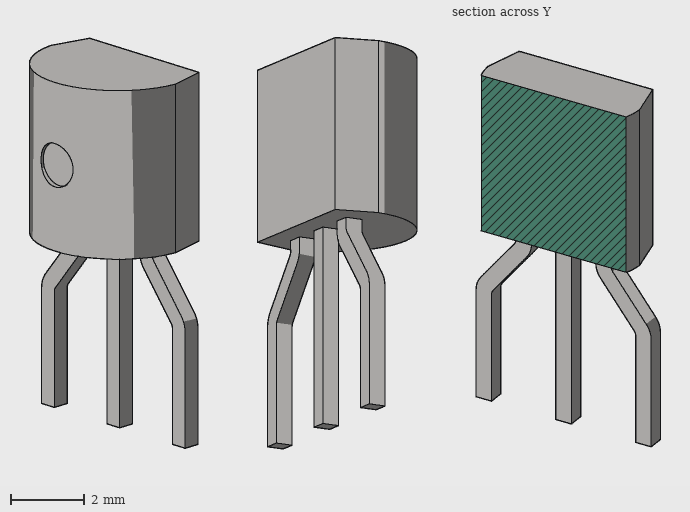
import cadquery as cq
import math

total_height = 10.37
body_height = 4.84
body_half_width = 2.42
back_half_width = 2.13
back_depth = 1.19
front_depth = 2.24

mark_radius = 0.62
mark_depth = 0.17
mark_below_top = 2.37

lead_width = 0.5
lead_pitch = 2.54
lead_root_pitch = lead_pitch / 2
upper_bend_drop = 0.46
lower_bend_drop = 2.04
inner_bend_radius = 0.21

body_bottom = total_height - body_height
lead_center_y = lead_width / 2


def make_body():
    return (
        cq.Workplane("XY", origin=(0, 0, body_bottom))
        .moveTo(-body_half_width, 0)
        .lineTo(-back_half_width, back_depth)
        .lineTo(back_half_width, back_depth)
        .lineTo(body_half_width, 0)
        .threePointArc((0, -front_depth), (-body_half_width, 0))
        .close()
        .extrude(body_height)
    )


def make_mark_cutter():
    return (
        cq.Workplane("XZ", origin=(0, mark_depth - front_depth, total_height - mark_below_top))
        .circle(mark_radius)
        .extrude(2 * mark_depth)
    )


def make_straight_lead():
    return (
        cq.Workplane("XY")
        .center(0, lead_center_y)
        .rect(lead_width, lead_width)
        .extrude(body_bottom)
    )


def make_bent_lead(side):
    """Lead splayed outwards; side is -1 for left and 1 for right."""
    root_x = side * lead_root_pitch
    foot_x = side * lead_pitch
    upper_z = body_bottom - upper_bend_drop
    lower_z = body_bottom - lower_bend_drop

    bend_angle = math.atan2(lead_pitch - lead_root_pitch, upper_z - lower_z)
    bend_radius = inner_bend_radius + lead_width / 2
    tangent_length = bend_radius * math.tan(bend_angle / 2)
    slope_x = side * tangent_length * math.sin(bend_angle)
    slope_z = tangent_length * math.cos(bend_angle)

    centreline = (
        cq.Workplane("XZ", origin=(0, lead_center_y, 0))
        .moveTo(root_x, body_bottom)
        .lineTo(root_x, upper_z + tangent_length)
        .tangentArcPoint((root_x + slope_x, upper_z - slope_z), relative=False)
        .lineTo(foot_x - slope_x, lower_z + slope_z)
        .tangentArcPoint((foot_x, lower_z - tangent_length), relative=False)
        .lineTo(foot_x, 0)
    )
    return (
        cq.Workplane("XY", origin=(root_x, lead_center_y, body_bottom))
        .rect(lead_width, lead_width)
        .sweep(centreline)
    )


result = make_body().cut(make_mark_cutter()).union(make_straight_lead())
for lead_side in (-1, 1):
    result = result.union(make_bent_lead(lead_side))